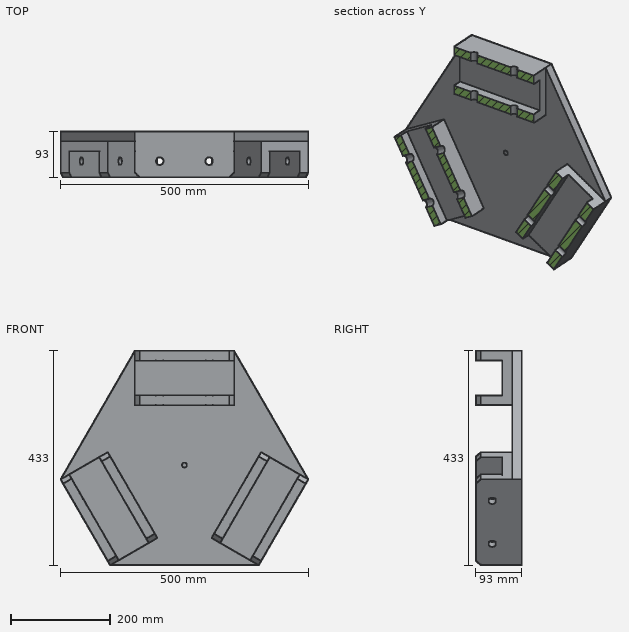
import cadquery as cq
import math

short_side = 200.0
long_side = 300.0
plate_thickness = 20.0
centre_mark_diameter = 10.0
centre_mark_depth = 0.5

total_depth = 93.0
bracket_height = 110.0
wall_thickness = 20.0
corner_chamfer = 10.0
bolt_diameter = 15.0
bolt_spacing = 100.0
bolt_depth = 60.0
bracket_angles = (0, 120, 240)

long_side_distance = (long_side + 2 * short_side) / (2 * math.sqrt(3))
short_side_distance = (long_side + short_side) * math.sqrt(3) / 2 - long_side_distance


def box(x_size, y_range, z_range):
    """Box centred on X, spanning the given Y and Z ranges."""
    y_min, y_max = y_range
    z_min, z_max = z_range
    return cq.Workplane("XY").box(
        x_size, y_max - y_min, z_max - z_min, centered=(True, False, False)
    ).translate((0, y_min, z_min))


def make_plate():
    shoulder_x = (short_side + long_side) / 2
    shoulder_z = short_side_distance - long_side * math.sqrt(3) / 2
    outline = [
        (-short_side / 2, short_side_distance),
        (short_side / 2, short_side_distance),
        (shoulder_x, shoulder_z),
        (long_side / 2, -long_side_distance),
        (-long_side / 2, -long_side_distance),
        (-shoulder_x, shoulder_z),
    ]
    plate = cq.Workplane("XZ").polyline(outline).close().extrude(plate_thickness)
    mark = (
        cq.Workplane("XZ", origin=(0, -plate_thickness, 0))
        .circle(centre_mark_diameter / 2)
        .extrude(-centre_mark_depth)
    )
    return plate.cut(mark)


def make_bracket():
    """U channel along the upper short side."""
    top = short_side_distance
    bottom = top - bracket_height
    floor = -plate_thickness - wall_thickness
    body = box(short_side, (-total_depth, -plate_thickness), (bottom, top))
    body = body.faces("<Y").edges("|Z").chamfer(corner_chamfer)
    channel = box(short_side, (-total_depth, floor), (bottom + wall_thickness, top - wall_thickness))
    bolts = (
        cq.Workplane("XY", origin=(0, -bolt_depth, bottom))
        .pushPoints([(-bolt_spacing / 2, 0), (bolt_spacing / 2, 0)])
        .circle(bolt_diameter / 2)
        .extrude(bracket_height)
    )
    return body.cut(channel).cut(bolts)


result = make_plate()
bracket = make_bracket()
for angle in bracket_angles:
    result = result.union(bracket.rotate((0, 0, 0), (0, 1, 0), angle))